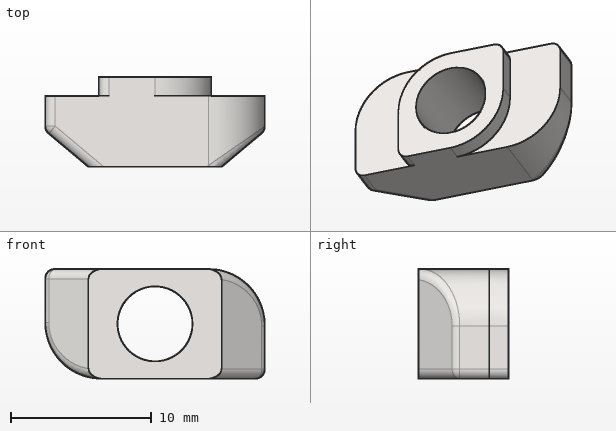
import cadquery as cq
import math

length = 15.6
height = 7.8
depth = 6.4

neck_width = 7.99
neck_depth = 1.35
body_depth = depth - neck_depth

swing_radius = 4.02
edge_radius = 0.7

slope_angle = 40.0
front_width = 9.44
slope_run = (length - front_width) / 2
slope_rise = slope_run * math.tan(math.radians(slope_angle))

bore_diameter = 5.3

front_overrun = 1.25

slack = 0.02


def swung_bar(width, y_front, y_back):
    """Bar along Y, swung round at its +X+Z and -X-Z corners and sharp at the others."""
    right = width / 2
    top = height / 2
    bulge = swing_radius * (1 - math.sqrt(0.5))
    return (
        cq.Workplane("XZ", origin=(0, y_back, 0))
        .moveTo(-right, top)
        .lineTo(right - swing_radius, top)
        .threePointArc((right - bulge, top - bulge), (right, top - swing_radius))
        .lineTo(right, -top)
        .lineTo(-right + swing_radius, -top)
        .threePointArc((-right + bulge, -top + bulge), (-right, -top + swing_radius))
        .close()
        .extrude(y_back - y_front)
    )


def sharp_corner(width, side):
    """Selector for the Y-parallel edge of a sharp bar corner (side -1: -X+Z, side 1: +X-Z)."""
    x = side * width / 2
    z = -side * height / 2
    return cq.selectors.BoxSelector(
        (x - slack, slope_rise / 2, z - slack),
        (x + slack, 2 * depth, z + slack),
    )


def body():
    """Body with its front at Y = 0, sloped ends and rounding around each slope."""
    slope = math.radians(slope_angle)
    tip_half_width = front_width / 2 - front_overrun / math.tan(slope)
    plan = (
        cq.Workplane("XY", origin=(0, 0, -height / 2))
        .moveTo(-length / 2, body_depth)
        .lineTo(-length / 2, slope_rise)
        .lineTo(-tip_half_width, -front_overrun)
        .lineTo(tip_half_width, -front_overrun)
        .lineTo(length / 2, slope_rise)
        .lineTo(length / 2, body_depth)
        .close()
        .extrude(height)
    )
    block = swung_bar(length, -front_overrun, body_depth).intersect(plan)

    tip_edge = cq.selectors.DirectionMinMaxSelector(cq.Vector(0, -1, 0))
    rim = cq.selectors.InverseSelector(tip_edge)
    for side in (-1, 1):
        outward = cq.Vector(side * math.sin(slope), -math.cos(slope), 0)
        slope_face = block.faces(cq.selectors.DirectionMinMaxSelector(outward))
        rim_edges = slope_face.edges(rim).vals()
        corner_edges = block.edges(sharp_corner(length, side)).vals()
        block = block.newObject(rim_edges + corner_edges).fillet(edge_radius)

    front_trim = cq.Workplane("XY").box(length, front_overrun, height)
    return block.cut(front_trim.translate((0, -front_overrun / 2, 0)))


def neck():
    """Neck behind the body, with the same corner rounding as the body."""
    bar = swung_bar(neck_width, body_depth, depth)
    for side in (-1, 1):
        bar = bar.edges(sharp_corner(neck_width, side)).fillet(edge_radius)
    return bar


def bore():
    return (
        cq.Workplane("XZ", origin=(0, depth, 0))
        .circle(bore_diameter / 2)
        .extrude(depth)
    )


result = body().union(neck()).cut(bore())